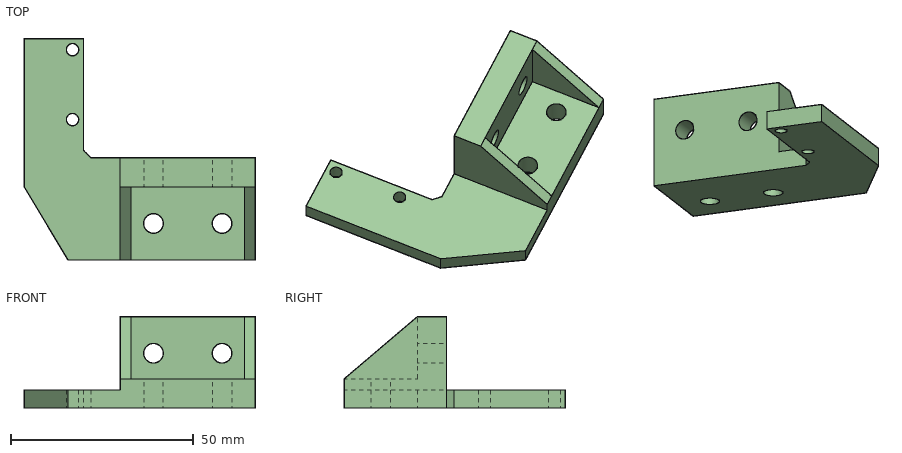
import cadquery as cq

length = 63.25
depth = 60.5
plate_thickness = 5.0
arm_width = 16.25
body_depth = 28.0
inner_chamfer = 2.0
corner_cut_x = 12.0
corner_cut_y = 20.0

bracket_width = 37.0
bracket_height = 25.01
floor_height = 8.0
wall_thickness = 8.0
gusset_thickness = 3.0

bolt_diameter = 5.3
bolt_spacing = 18.75
floor_bolt_y = 10.0
wall_bolt_z = 15.0
arm_hole_diameter = 3.3
arm_hole_edge_distance = 3.0
arm_hole_spacing = 19.1

bracket_start = length - bracket_width
bracket_middle = length - bracket_width / 2
wall_front = body_depth - wall_thickness
bolt_xs = [bracket_middle - bolt_spacing / 2, bracket_middle + bolt_spacing / 2]
arm_hole_x = arm_width - arm_hole_edge_distance
arm_hole_ys = [
    depth - arm_hole_edge_distance,
    depth - arm_hole_edge_distance - arm_hole_spacing,
]


def make_plate():
    """L-shaped plate with a cut outer corner and a small inner chamfer."""
    outline = [
        (corner_cut_x, 0),
        (length, 0),
        (length, body_depth),
        (arm_width + inner_chamfer, body_depth),
        (arm_width, body_depth + inner_chamfer),
        (arm_width, depth),
        (0, depth),
        (0, corner_cut_y),
    ]
    return cq.Workplane("XY").polyline(outline).close().extrude(plate_thickness)


def make_bracket():
    """Sloped block hollowed out to leave a floor, a rear wall and two gussets."""
    side_profile = [
        (0, 0),
        (body_depth, 0),
        (body_depth, bracket_height),
        (wall_front, bracket_height),
        (0, floor_height),
    ]
    block = (
        cq.Workplane("YZ", origin=(bracket_start, 0, 0))
        .polyline(side_profile)
        .close()
        .extrude(bracket_width)
    )
    pocket = cq.Workplane("XY").box(
        bracket_width - 2 * gusset_thickness,
        wall_front,
        bracket_height - floor_height,
        centered=False,
    ).translate((bracket_start + gusset_thickness, 0, floor_height))
    return block.cut(pocket)


def vertical_holes(points, diameter):
    """Cylinders along Z, tall enough to pass through the plate and floor."""
    return cq.Workplane("XY").pushPoints(points).circle(diameter / 2).extrude(floor_height)


def wall_holes():
    """Cylinders along Y that pass through the rear wall."""
    return (
        cq.Workplane("XZ", origin=(0, body_depth, 0))
        .pushPoints([(x, wall_bolt_z) for x in bolt_xs])
        .circle(bolt_diameter / 2)
        .extrude(wall_thickness)
    )


result = (
    make_plate()
    .union(make_bracket())
    .cut(vertical_holes([(x, floor_bolt_y) for x in bolt_xs], bolt_diameter))
    .cut(vertical_holes([(arm_hole_x, y) for y in arm_hole_ys], arm_hole_diameter))
    .cut(wall_holes())
)